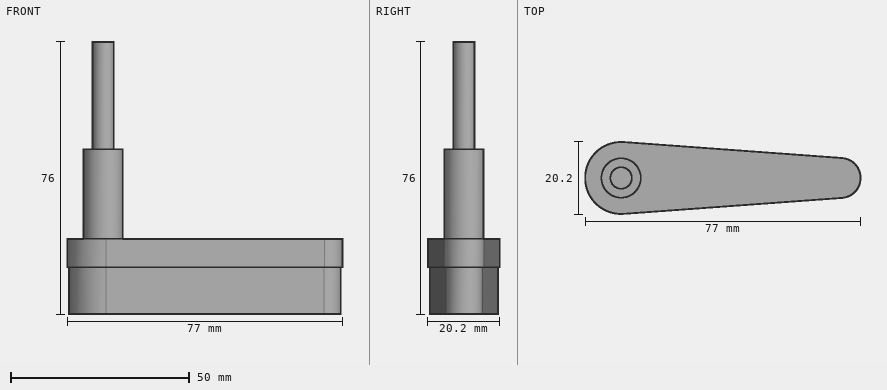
import cadquery as cq
import math

overall_length = 77.0
overall_height = 76.0
large_end_radius = 10.1
small_end_radius = 5.6
base_inset = 0.5
base_height = 13.0
cover_height = 8.0
sleeve_diameter = 11.0
sleeve_height = 25.0
pin_diameter = 6.0

end_spacing = overall_length - large_end_radius - small_end_radius
cover_top = base_height + cover_height
sleeve_top = cover_top + sleeve_height
pin_height = overall_height - sleeve_top


def tapered_arm(large_radius, small_radius, bottom, height):
    """Plate with two round ends joined by straight tangent sides."""
    taper = math.asin((large_radius - small_radius) / end_spacing)
    large_x = large_radius * math.sin(taper)
    large_y = large_radius * math.cos(taper)
    small_x = end_spacing + small_radius * math.sin(taper)
    small_y = small_radius * math.cos(taper)
    return (
        cq.Workplane("XY", origin=(0, 0, bottom))
        .moveTo(large_x, -large_y)
        .lineTo(small_x, -small_y)
        .threePointArc((end_spacing + small_radius, 0), (small_x, small_y))
        .lineTo(large_x, large_y)
        .threePointArc((-large_radius, 0), (large_x, -large_y))
        .close()
        .extrude(height)
    )


def post(diameter, bottom, height):
    """Round post standing on the axis of the large end."""
    return cq.Workplane("XY", origin=(0, 0, bottom)).circle(diameter / 2).extrude(height)


base = tapered_arm(large_end_radius - base_inset, small_end_radius - base_inset, 0, base_height)
cover = tapered_arm(large_end_radius, small_end_radius, base_height, cover_height)
sleeve = post(sleeve_diameter, cover_top, sleeve_height)
pin = post(pin_diameter, sleeve_top, pin_height)

result = base.union(cover).union(sleeve).union(pin)